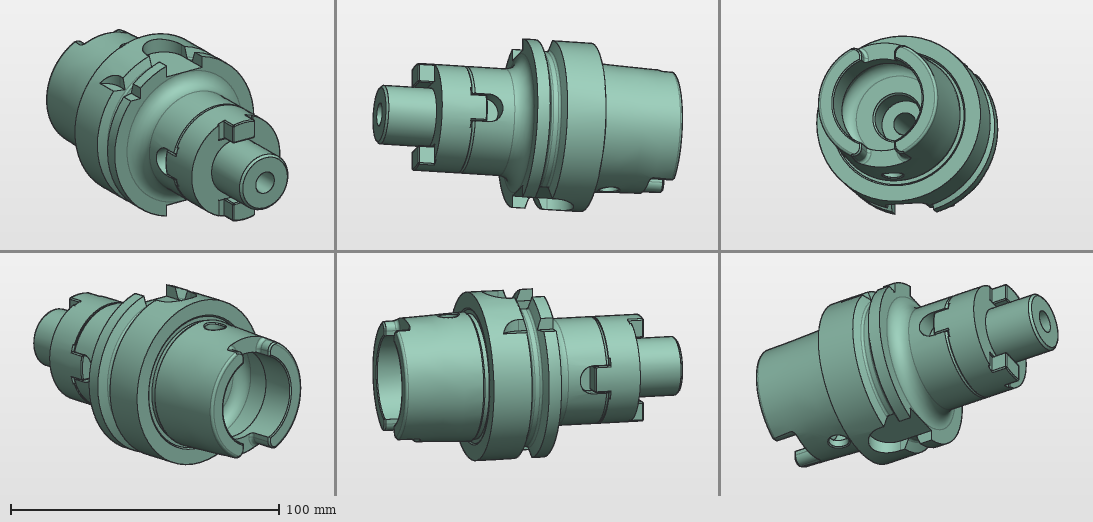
import cadquery as cq
import math

total_length = 111.0
flange_radius = 31.5

shank_end_radius = 23.0
shank_big_radius = 24.2
shank_taper_end = 29.9
shank_end_round = 1.0

relief_radius = 23.5
relief_chamfer_length = 0.7
face_recess_depth = 0.4
face_recess_radius = 25.6
face_recess_floor_radius = 25.1

flange_start = 31.7
flange_end = 57.9
groove_center = 49.8
groove_width = 6.7
groove_bottom_radius = 27.3
groove_half_angle = math.radians(22)
groove_round = 1.0

neck_radius = 20.0
neck_fillet = 6.0
neck_end = 79.9
neck_chamfer_length = 1.0
neck_chamfer_drop = 0.5

spigot_radius = 11.0
spigot_chamfer = 0.9

mouth_radius = 17.1
mouth_chamfer_width = 0.5
mouth_chamfer_length = 0.3
shoulder_start = 13.3
cavity_radius = 20.5
shoulder_lean = math.radians(30)
cavity_depth = 30.0
cavity_floor_round = 4.7
socket_radius = 8.8
socket_chamfer = 0.7
socket_depth = 11.1
bore_radius = 4.2

drive_slot_half_width = 6.3
drive_slot_depth_top = 5.8
drive_slot_depth_bottom = 9.7
drive_slot_round = 3.0
drive_slot_lip_height = 20.6
drive_slot_corner_round = 1.3
drive_slot_rim_chamfer = 0.7

cross_hole_x = 22.9
cross_hole_radius = 3.8
cross_hole_sink = 0.4

keyway_half_width = 8.0
keyway_start = 36.6
keyway_floor = 26.1
notch_wall_y = -19.9
notch_floor_z = 20.2

ring_radius = 20.0
ring_end = 91.8
lug_length = 5.5
lug_half_width = 5.0
lug_inner = 12.2
lug_chamfer = 0.4
lug_relief_half_width = 7.7
lug_relief_depth = 0.7

lug_slot_half_width = 5.3
lug_slot_start = 68.5

cutter_reach = 2 * flange_radius
mid_wall_radius = (cavity_radius + shank_big_radius) / 2


def revolve_about_x(profile):
    return profile.close().revolve(360, (0, 0, 0), (1, 0, 0))


def box(x_min, x_max, y_min, y_max, z_min, z_max):
    size = (x_max - x_min, y_max - y_min, z_max - z_min)
    return cq.Workplane("XY").box(*size, centered=False).translate((x_min, y_min, z_min))


def turned_holder():
    """Outside of the holder, from the shank end to the spigot end."""
    fillet_end = flange_end + neck_fillet
    fillet_mid = neck_fillet * math.sqrt(0.5)
    profile = (
        cq.Workplane("XY")
        .lineTo(0, shank_end_radius - shank_end_round)
        .radiusArc((shank_end_round, shank_end_radius), shank_end_round)
        .lineTo(shank_taper_end, shank_big_radius)
        .lineTo(shank_taper_end + relief_chamfer_length, relief_radius)
        .lineTo(flange_start + face_recess_depth, relief_radius)
        .lineTo(flange_start + face_recess_depth, face_recess_floor_radius)
        .lineTo(flange_start, face_recess_radius)
        .lineTo(flange_start, flange_radius)
        .lineTo(flange_end, flange_radius)
        .lineTo(flange_end, neck_radius + neck_fillet)
        .threePointArc(
            (fillet_end - fillet_mid, neck_radius + neck_fillet - fillet_mid),
            (fillet_end, neck_radius),
        )
        .lineTo(neck_end - neck_chamfer_length, neck_radius)
        .lineTo(neck_end, neck_radius - neck_chamfer_drop)
        .lineTo(neck_end, spigot_radius)
        .lineTo(total_length - spigot_chamfer, spigot_radius)
        .lineTo(total_length, spigot_radius - spigot_chamfer)
        .lineTo(total_length, 0)
    )
    return revolve_about_x(profile)


def gripper_groove():
    """V groove round the flange, with rounded corners at its flat bottom."""
    top_half = groove_width / 2
    slope = math.tan(groove_half_angle)
    bottom_half = top_half - (flange_radius - groove_bottom_radius) * slope
    profile = (
        cq.Workplane("XY")
        .moveTo(groove_center - top_half, flange_radius)
        .lineTo(groove_center - bottom_half, groove_bottom_radius)
        .lineTo(groove_center + bottom_half, groove_bottom_radius)
        .lineTo(groove_center + top_half, flange_radius)
    )
    groove = revolve_about_x(profile)
    bottom_edges = cq.selectors.BoxSelector(
        (groove_center - bottom_half - groove_round, -groove_bottom_radius, -groove_bottom_radius),
        (groove_center + bottom_half + groove_round, groove_bottom_radius, groove_bottom_radius),
    )
    return groove.edges(bottom_edges).edges("%CIRCLE").fillet(groove_round)


def cavity():
    """Clamping cavity with an undercut shoulder, tube socket and through bore."""
    shoulder_end = shoulder_start + (cavity_radius - mouth_radius) * math.tan(shoulder_lean)
    socket_end = cavity_depth + socket_depth
    profile = (
        cq.Workplane("XY")
        .lineTo(0, mouth_radius + mouth_chamfer_width)
        .lineTo(mouth_chamfer_length, mouth_radius)
        .lineTo(shoulder_start, mouth_radius)
        .lineTo(shoulder_end, cavity_radius)
        .lineTo(cavity_depth - cavity_floor_round, cavity_radius)
        .radiusArc((cavity_depth, cavity_radius - cavity_floor_round), cavity_floor_round)
        .lineTo(cavity_depth, socket_radius + socket_chamfer)
        .lineTo(cavity_depth + socket_chamfer, socket_radius)
        .lineTo(socket_end, socket_radius)
        .lineTo(socket_end, bore_radius)
        .lineTo(total_length, bore_radius)
        .lineTo(total_length, 0)
    )
    return revolve_about_x(profile)


def drive_slot_outline(x, growth):
    """Slot section at the given x, its edge moved into the walls by growth."""
    half = drive_slot_half_width + growth
    lip = drive_slot_half_width + drive_slot_round
    lip_height = drive_slot_lip_height - growth
    curl_start = drive_slot_lip_height - drive_slot_round
    curl = drive_slot_round - growth
    return (
        cq.Workplane("YZ", origin=(x, 0, 0))
        .moveTo(-half, 0)
        .lineTo(-half, curl_start)
        .radiusArc((-lip, lip_height), -curl)
        .lineTo(-flange_radius, lip_height)
        .lineTo(-flange_radius, flange_radius)
        .lineTo(flange_radius, flange_radius)
        .lineTo(flange_radius, lip_height)
        .lineTo(lip, lip_height)
        .radiusArc((half, curl_start), -curl)
        .lineTo(half, 0)
        .close()
    )


def drive_slot(depth):
    """Slot in the +Z wall of the shank end; its side walls curl outward at the rim."""
    slot = drive_slot_outline(0, 0).extrude(depth)
    slot = slot.faces(">X").edges("not(>Z or <Z or >Y or <Y)").fillet(drive_slot_corner_round)
    mouth = drive_slot_outline(0, drive_slot_rim_chamfer).val()
    throat = drive_slot_outline(drive_slot_rim_chamfer, 0).val()
    flare = cq.Solid.makeLoft([mouth, throat], True)
    return slot.union(flare)


def cross_hole():
    """Hole along Z through both shank walls."""
    hole = cq.Workplane("XY").circle(cross_hole_radius).extrude(flange_radius, both=True)
    return hole.translate((cross_hole_x, 0, 0))


def sink_cross_hole(body):
    """Chamfer the two outer rims of the cross hole."""
    reach = cross_hole_radius + cross_hole_sink
    for side in (1, -1):
        rim = cq.selectors.BoxSelector(
            (cross_hole_x - reach, -reach, side * mid_wall_radius),
            (cross_hole_x + reach, reach, side * flange_radius),
            boundingbox=True,
        )
        body = body.edges(rim).chamfer(cross_hole_sink)
    return body


def round_ended_slot(start, end, half_width, floor, top):
    """Cutter path along +X, rounded at its start, between the levels floor and top."""
    path = (
        cq.Workplane("XY", origin=(0, 0, floor))
        .moveTo(end, -half_width)
        .lineTo(start + half_width, -half_width)
        .threePointArc((start, 0), (start + half_width, half_width))
        .lineTo(end, half_width)
        .close()
    )
    return path.extrude(top - floor)


def turn_about_x(body, angle):
    return body.rotate((0, 0, 0), (1, 0, 0), angle)


def lug(base, tip, direction):
    """Ring lug on the +Z side, with chamfered free end and long edges."""
    blank = box(min(base, tip), max(base, tip), -lug_half_width, lug_half_width, lug_inner, cutter_reach)
    outside = cq.Workplane("YZ").circle(ring_radius).extrude(total_length)
    trimmed = blank.intersect(outside).edges("|X").chamfer(lug_chamfer)
    return trimmed.faces(direction).chamfer(lug_chamfer)


def make_holder():
    body = turned_holder().cut(gripper_groove()).cut(cavity())
    body = body.cut(drive_slot(drive_slot_depth_top))
    body = body.cut(turn_about_x(drive_slot(drive_slot_depth_bottom), 180))
    body = body.cut(cross_hole())
    body = sink_cross_hole(body)
    keyway = round_ended_slot(keyway_start, flange_end, keyway_half_width, keyway_floor, flange_radius)
    notch = round_ended_slot(keyway_start, flange_end, keyway_half_width, notch_floor_z, flange_radius)
    notch = notch.translate((0, notch_wall_y - keyway_half_width, 0))
    lug_slot = round_ended_slot(lug_slot_start, neck_end, lug_slot_half_width, lug_inner, cutter_reach)
    body = body.cut(notch)
    for angle in (0, 180):
        body = body.cut(turn_about_x(keyway, angle))
        body = body.cut(turn_about_x(lug_slot, angle + 90))
    return body


def make_ring():
    body = cq.Workplane("YZ", origin=(neck_end, 0, 0)).circle(ring_radius).circle(spigot_radius)
    body = body.extrude(ring_end - neck_end)
    front_relief = box(
        ring_end - lug_relief_depth, ring_end,
        -lug_relief_half_width, lug_relief_half_width, lug_inner, ring_radius,
    )
    rear_relief = box(
        neck_end, neck_end + lug_relief_depth,
        -lug_relief_half_width, lug_relief_half_width, lug_inner, ring_radius,
    )
    front_lug = lug(ring_end - lug_relief_depth, ring_end + lug_length, ">X")
    rear_lug = lug(neck_end + lug_relief_depth, neck_end - lug_length, "<X")
    for angle in (0, 180):
        body = body.cut(turn_about_x(front_relief, angle)).cut(turn_about_x(rear_relief, angle + 90))
        body = body.union(turn_about_x(front_lug, angle)).union(turn_about_x(rear_lug, angle + 90))
    return body


holder = make_holder()
driving_ring = make_ring()
result = cq.Compound.makeCompound([holder.val(), driving_ring.val()])